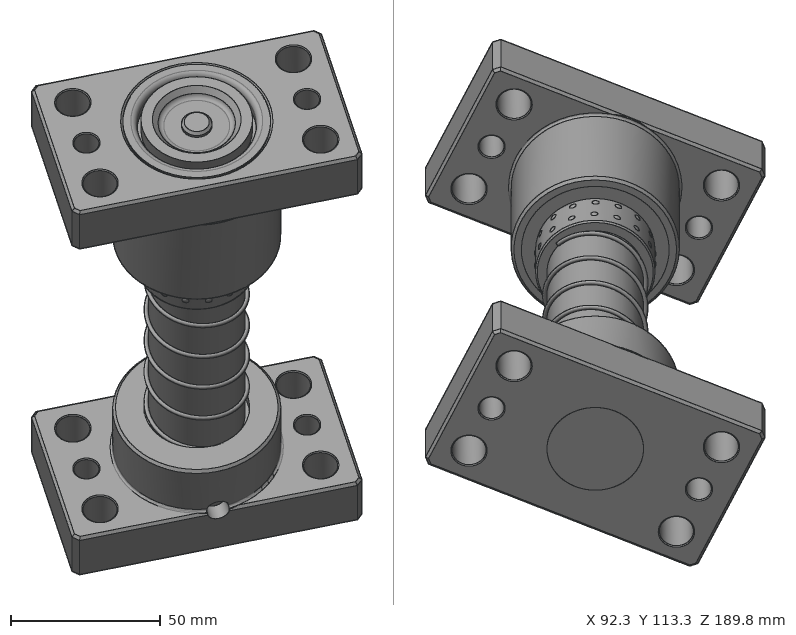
import cadquery as cq
import math

TOTAL_HEIGHT = 189.8
FIT_GAP = 0.04

PLATE_WIDTH = 58.0
PLATE_LENGTH = 100.0
PLATE_THICKNESS = 19.7
PLATE_TURN = -24.2
PLATE_CORNER_CHAMFER = 2.0
EDGE_CHAMFER = 1.0
BOSS_RADIUS = 28.0
BOSS_ROOT_FILLET = 0.85
LOWER_BOSS_TOP = 40.2
UPPER_BOSS_LENGTH = 60.2

HOLE_ROW_SPACING = 76.0
SCREW_HOLE_SPACING = 36.2
SCREW_HOLE_RADIUS = 5.7
DOWEL_HOLE_RADIUS = 4.2
HOLE_CHAMFER = 0.4

SPOT_HOLE_RADIUS = 3.8
SPOT_HOLE_DEPTH = 5.7

POST_RADIUS = 16.1
CAP_RADIUS = 18.6
CAP_THICKNESS = 5.7
CAP_PROTRUSION = 0.8
CUP_MOUTH_RADIUS = 14.8
CUP_WALL_RADIUS = 12.9
CUP_FLOOR_RADIUS = 11.0
CUP_DEPTH = 3.2
CUP_FILLET_HEIGHT = 1.3
CAP_SCREW_RADIUS = 5.1
CAP_SCREW_RISE = 1.9
CAP_SCREW_CHAMFER = 1.0
CAP_SCREW_ENGAGEMENT = 9.5

BUSH_RADIUS = 24.7
BUSH_SEAT_CHAMFER = 0.8
BUSH_MOUTH_FILLET = 2.0

CAGE_RADIUS = 20.0
CAGE_BOTTOM = 114.2
CAGE_CHAMFER = 0.5
BALL_RADIUS = 2.0
BALL_SPOT_RADIUS = 1.1
BALLS_PER_ROW = 16
BALL_ROW_COUNT = 2
FIRST_BALL_ROW_RISE = 4.7
BALL_ROW_PITCH = 7.4
FIRST_BALL_ANGLE = -94.6
BALL_ROW_TWIST = 1.3

WIRE_RADIUS = 0.72
SPRING_PITCH = 16.0
SPRING_BOTTOM = 37.2

plate_top = TOTAL_HEIGHT - CAP_PROTRUSION
upper_boss_bottom = plate_top - UPPER_BOSS_LENGTH
cap_bottom = TOTAL_HEIGHT - CAP_THICKNESS
cup_floor = TOTAL_HEIGHT - CUP_DEPTH
cap_screw_bottom = cap_bottom - CAP_SCREW_ENGAGEMENT
ball_center_radius = CAGE_RADIUS - math.sqrt(BALL_RADIUS**2 - BALL_SPOT_RADIUS**2)
spring_radius = POST_RADIUS + WIRE_RADIUS + FIT_GAP
spring_seat_radius = spring_radius + WIRE_RADIUS + FIT_GAP
spring_top = CAGE_BOTTOM - WIRE_RADIUS - FIT_GAP
spring_seat_level = SPRING_BOTTOM - WIRE_RADIUS - FIT_GAP


def cylinder(radius, bottom, top):
    return cq.Workplane("XY").workplane(offset=bottom).circle(radius).extrude(top - bottom)


def cone(bottom_radius, top_radius, bottom, top):
    solid = cq.Solid.makeCone(bottom_radius, top_radius, top - bottom, pnt=cq.Vector(0, 0, bottom))
    return cq.Workplane(obj=solid)


def flange(boss_length):
    """Plate standing on Z = 0 with its boss rising to boss_length."""
    plate = (
        cq.Workplane("XY")
        .rect(PLATE_WIDTH, PLATE_LENGTH)
        .extrude(PLATE_THICKNESS)
        .edges("|Z")
        .chamfer(PLATE_CORNER_CHAMFER)
        .faces("<Z or >Z")
        .chamfer(EDGE_CHAMFER)
    )
    boss = cylinder(BOSS_RADIUS, PLATE_THICKNESS, boss_length).faces(">Z").edges().chamfer(EDGE_CHAMFER)
    root_radius = BOSS_RADIUS + BOSS_ROOT_FILLET
    root = (
        cq.Workplane("XZ")
        .moveTo(0, PLATE_THICKNESS - EDGE_CHAMFER)
        .lineTo(root_radius, PLATE_THICKNESS - EDGE_CHAMFER)
        .lineTo(root_radius, PLATE_THICKNESS)
        .radiusArc((BOSS_RADIUS, PLATE_THICKNESS + BOSS_ROOT_FILLET), BOSS_ROOT_FILLET)
        .lineTo(0, PLATE_THICKNESS + BOSS_ROOT_FILLET)
        .close()
        .revolve(360, (0, 0, 0), (0, 1, 0))
    )
    body = plate.union(boss).union(root)
    for row in (-1, 1):
        row_y = row * HOLE_ROW_SPACING / 2
        for column in (-1, 1):
            body = body.cut(flange_hole(SCREW_HOLE_RADIUS, column * SCREW_HOLE_SPACING / 2, row_y))
        body = body.cut(flange_hole(DOWEL_HOLE_RADIUS, 0, row_y))
    return body


def flange_hole(radius, x, y):
    """Cutter for a through hole chamfered at both plate faces."""
    wide = radius + HOLE_CHAMFER
    cutter = cylinder(radius, 0, PLATE_THICKNESS)
    cutter = cutter.union(cone(wide, radius, 0, HOLE_CHAMFER))
    cutter = cutter.union(cone(radius, wide, PLATE_THICKNESS - HOLE_CHAMFER, PLATE_THICKNESS))
    return cutter.translate((x, y, 0))


def make_lower_flange():
    body = flange(LOWER_BOSS_TOP)
    body = body.cut(cylinder(POST_RADIUS, 0, LOWER_BOSS_TOP))
    body = body.cut(cylinder(spring_seat_radius, spring_seat_level, LOWER_BOSS_TOP))
    spot_hole = (
        cq.Workplane("YZ")
        .workplane(offset=PLATE_WIDTH / 2 - SPOT_HOLE_DEPTH)
        .center(0, PLATE_THICKNESS)
        .circle(SPOT_HOLE_RADIUS)
        .extrude(SPOT_HOLE_DEPTH)
    )
    return body.cut(spot_hole).rotate((0, 0, 0), (0, 0, 1), PLATE_TURN)


def make_upper_flange():
    body = flange(UPPER_BOSS_LENGTH)
    body = body.rotate((0, 0, 0), (1, 0, 0), 180).translate((0, 0, plate_top))
    body = body.rotate((0, 0, 0), (0, 0, 1), PLATE_TURN)
    body = body.cut(cylinder(BUSH_RADIUS, upper_boss_bottom, plate_top))
    seat_chamfer = cone(
        BUSH_RADIUS, BUSH_RADIUS + BUSH_SEAT_CHAMFER, plate_top - BUSH_SEAT_CHAMFER, plate_top
    )
    return body.cut(seat_chamfer)


def make_bush():
    ring = cylinder(BUSH_RADIUS, upper_boss_bottom, plate_top)
    ring = ring.cut(cylinder(CAGE_RADIUS, upper_boss_bottom, plate_top))
    bore_edge = ring.faces(">Z").edges(cq.selectors.RadiusNthSelector(0))
    return bore_edge.fillet(BUSH_MOUTH_FILLET)


def make_post():
    rod = cylinder(POST_RADIUS, 0, cap_bottom)
    return rod.cut(cylinder(CAP_SCREW_RADIUS, cap_screw_bottom, cap_bottom))


def make_cap():
    disc = cylinder(CAP_RADIUS, cap_bottom, TOTAL_HEIGHT)
    cup_profile = (
        cq.Workplane("XZ")
        .moveTo(0, cup_floor)
        .lineTo(CUP_FLOOR_RADIUS, cup_floor)
        .tangentArcPoint((CUP_WALL_RADIUS, cup_floor + CUP_FILLET_HEIGHT), relative=False)
        .lineTo(CUP_MOUTH_RADIUS, TOTAL_HEIGHT)
        .lineTo(0, TOTAL_HEIGHT)
        .close()
    )
    cup = cup_profile.revolve(360, (0, 0, 0), (0, 1, 0))
    return disc.cut(cup).cut(cylinder(CAP_SCREW_RADIUS, cap_bottom, TOTAL_HEIGHT))


def make_cap_screw():
    pin = cylinder(CAP_SCREW_RADIUS, cap_screw_bottom, cup_floor + CAP_SCREW_RISE)
    return pin.faces(">Z").edges().chamfer(CAP_SCREW_CHAMFER)


def make_cage():
    """Sleeve on the post with rows of balls standing slightly proud of it."""
    sleeve = cylinder(CAGE_RADIUS, CAGE_BOTTOM, cap_bottom).faces("<Z").edges().chamfer(CAGE_CHAMFER)
    sleeve = sleeve.cut(cylinder(POST_RADIUS, CAGE_BOTTOM, cap_bottom))
    for row in range(BALL_ROW_COUNT):
        level = CAGE_BOTTOM + FIRST_BALL_ROW_RISE + row * BALL_ROW_PITCH
        for index in range(BALLS_PER_ROW):
            angle = math.radians(FIRST_BALL_ANGLE + row * BALL_ROW_TWIST + index * 360 / BALLS_PER_ROW)
            x = ball_center_radius * math.cos(angle)
            y = ball_center_radius * math.sin(angle)
            sleeve = sleeve.union(cq.Workplane("XY").sphere(BALL_RADIUS).translate((x, y, level)))
    return sleeve


def make_spring():
    """Left-hand coil from the seat in the lower boss up to the cage."""
    path = cq.Wire.makeHelix(SPRING_PITCH, spring_top - SPRING_BOTTOM, spring_radius, lefthand=True)
    wire = cq.Workplane("XZ").center(spring_radius, 0).circle(WIRE_RADIUS)
    return wire.sweep(cq.Workplane(obj=path), isFrenet=True).translate((0, 0, SPRING_BOTTOM))


lower_flange = make_lower_flange()
upper_flange = make_upper_flange()
bush = make_bush()
post = make_post()
cap = make_cap()
cap_screw = make_cap_screw()
cage = make_cage()
spring = make_spring()

bodies = [lower_flange, upper_flange, bush, post, cap, cap_screw, cage, spring]
result = cq.Compound.makeCompound([body.solids().val() for body in bodies])